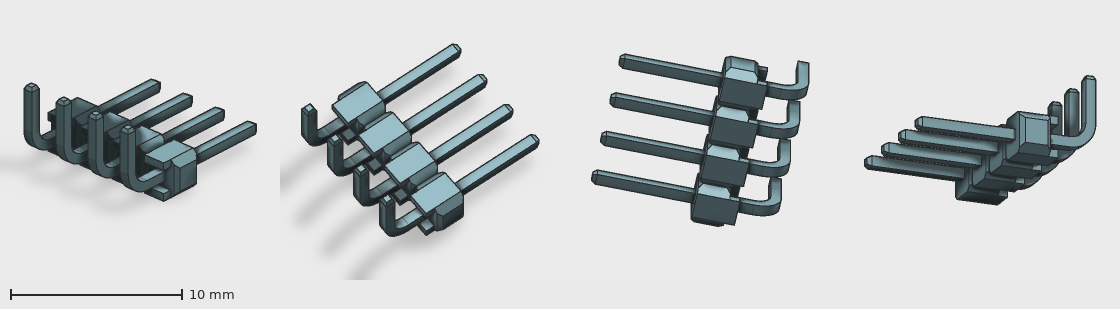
import cadquery as cq
import math


PIN_COUNT = 4
HOUSING_LENGTH = 10.17
PITCH = HOUSING_LENGTH / PIN_COUNT

CELL_HEIGHT = PITCH
HOUSING_DEPTH = PITCH
FOOT_DEPTH = 0.61
BLOCK_DEPTH = HOUSING_DEPTH - FOOT_DEPTH
FOOT_WIDTH = 1.54
LONG_BEVEL = (PITCH - FOOT_WIDTH) / 2
END_BEVEL = LONG_BEVEL / 2
FOOT_HEIGHT = LONG_BEVEL

PIN_SIZE = 0.64
TOTAL_LENGTH = 11.22
TOTAL_HEIGHT = 5.54
TAIL_LENGTH = 6.1
TIP_LENGTH = 0.25
TIP_INSET = 0.12
BEND_INNER_RADIUS = 1.0

LEG_Y = TAIL_LENGTH - TOTAL_LENGTH + PIN_SIZE / 2
LEG_TOP_Z = TOTAL_HEIGHT - CELL_HEIGHT / 2
BEND_RADIUS = BEND_INNER_RADIUS + PIN_SIZE / 2
TIP_TAPER = math.degrees(math.atan(TIP_INSET / TIP_LENGTH))

PIN_XS = [(i - (PIN_COUNT - 1) / 2) * PITCH for i in range(PIN_COUNT)]


def make_cell(x):
    """One housing cell: a block bevelled along Y and at its uprights, with two feet in front."""
    block = (
        cq.Workplane("XY")
        .box(PITCH, BLOCK_DEPTH, CELL_HEIGHT)
        .edges("|Z")
        .chamfer(END_BEVEL)
    )
    octagon = (
        cq.Workplane("XY")
        .box(PITCH, BLOCK_DEPTH, CELL_HEIGHT)
        .edges("|Y")
        .chamfer(LONG_BEVEL)
    )
    cell = block.intersect(octagon)
    foot = cq.Workplane("XY").box(FOOT_WIDTH, FOOT_DEPTH, FOOT_HEIGHT)
    foot_y = -(BLOCK_DEPTH + FOOT_DEPTH) / 2
    foot_z = (CELL_HEIGHT - FOOT_HEIGHT) / 2
    for side in (-1, 1):
        cell = cell.union(foot.translate((0, foot_y, side * foot_z)))
    return cell.translate((x, -BLOCK_DEPTH / 2, 0))


def make_housing():
    """All cells joined side by side, with a square through hole for each pin."""
    housing = make_cell(PIN_XS[0])
    for x in PIN_XS[1:]:
        housing = housing.union(make_cell(x))
    for x in PIN_XS:
        hole = cq.Workplane("XY").box(PIN_SIZE, 2 * HOUSING_DEPTH, PIN_SIZE)
        housing = housing.cut(hole.translate((x, -HOUSING_DEPTH / 2, 0)))
    return housing


def make_pin(x):
    """A square pin with a straight tail, a right-angle bend and a tapered tip at each end."""
    tail_shoulder_y = TAIL_LENGTH - TIP_LENGTH
    leg_shoulder_z = LEG_TOP_Z - TIP_LENGTH
    bend_start = (LEG_Y + BEND_RADIUS, 0)
    bend_middle_offset = BEND_RADIUS * (1 - math.sqrt(0.5))
    bend_middle = (LEG_Y + bend_middle_offset, bend_middle_offset)
    bend_end = (LEG_Y, BEND_RADIUS)
    centreline = (
        cq.Workplane("YZ", origin=(x, 0, 0))
        .moveTo(tail_shoulder_y, 0)
        .lineTo(*bend_start)
        .threePointArc(bend_middle, bend_end)
        .lineTo(LEG_Y, leg_shoulder_z)
    )
    tail_plane = cq.Plane(origin=(x, tail_shoulder_y, 0), xDir=(1, 0, 0), normal=(0, 1, 0))
    leg_plane = cq.Plane(origin=(x, LEG_Y, leg_shoulder_z), xDir=(1, 0, 0), normal=(0, 0, 1))
    pin = cq.Workplane(tail_plane).rect(PIN_SIZE, PIN_SIZE).sweep(centreline)
    for end_plane in (tail_plane, leg_plane):
        tip = cq.Workplane(end_plane).rect(PIN_SIZE, PIN_SIZE).extrude(TIP_LENGTH, taper=TIP_TAPER)
        pin = pin.union(tip)
    return pin


housing = make_housing()
pins = [make_pin(x) for x in PIN_XS]

result = cq.Compound.makeCompound([housing.val(), *[pin.val() for pin in pins]])